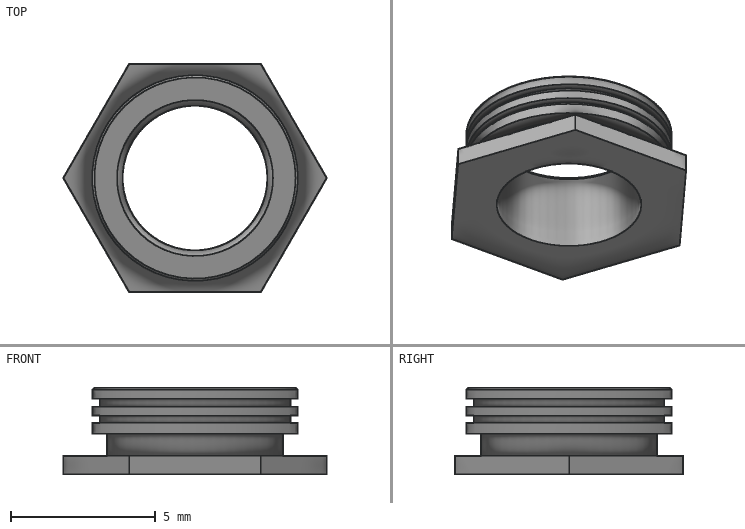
import cadquery as cq
import math

hex_sides = 6
hex_across_flats = 7.9
flange_thickness = 0.64

overall_height = 3.0
neck_diameter = 6.104
rib_diameter = 7.12
groove_diameter = 6.61
rim_chamfer = 0.08

neck_height = 0.76
lower_rib_height = 0.38
lower_groove_height = 0.25
middle_rib_height = 0.31
upper_groove_height = 0.27

bore_diameter = 5.0
bore_chamfer = 0.2


def disc(diameter, base, height):
    """Solid cylinder on the Z axis, starting at the given base height."""
    return cq.Workplane("XY").workplane(offset=base).circle(diameter / 2).extrude(height)


def make_flange():
    """Hexagonal plate with two corners on the X axis."""
    across_corners = hex_across_flats / math.cos(math.pi / hex_sides)
    return cq.Workplane("XY").polygon(hex_sides, across_corners).extrude(flange_thickness)


def add_body(part):
    """Stack the neck, ribs and grooves on the flange, up to the chamfered rim."""
    sections = [
        (neck_diameter, neck_height),
        (rib_diameter, lower_rib_height),
        (groove_diameter, lower_groove_height),
        (rib_diameter, middle_rib_height),
        (groove_diameter, upper_groove_height),
    ]
    base = flange_thickness
    for diameter, height in sections:
        part = part.union(disc(diameter, base, height))
        base += height
    top_rib = disc(rib_diameter, base, overall_height - base)
    return part.union(top_rib.faces(">Z").edges().chamfer(rim_chamfer))


def cut_bore(part):
    """Bore through the whole part, with a chamfered mouth at the top."""
    bore = disc(bore_diameter, 0, overall_height)
    mouth_radius = bore_diameter / 2 + bore_chamfer
    mouth = (
        cq.Workplane("XZ")
        .moveTo(0, overall_height)
        .lineTo(mouth_radius, overall_height)
        .lineTo(bore_diameter / 2, overall_height - bore_chamfer)
        .lineTo(0, overall_height - bore_chamfer)
        .close()
        .revolve(360, (0, 0, 0), (0, 1, 0))
    )
    return part.cut(bore).cut(mouth)


result = cut_bore(add_body(make_flange()))